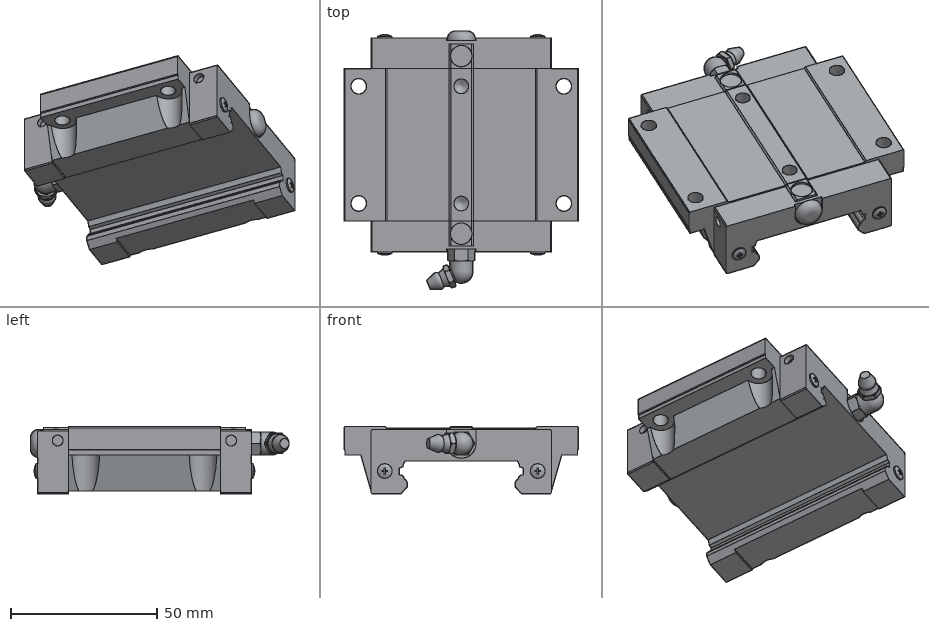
import cadquery as cq
import math

total_height = 23.0
block_width = 80.0
block_length = 52.0
block_bottom_z = 0.9
pad_z = 22.45
pad_half_width = 25.4
pad_step_run = 0.5
flange_bottom_z = 13.2
flange_taper_z = 15.2
flange_taper = 0.3
flange_top_chamfer = 0.5
skirt_top_half_width = 34.3
body_half_width = 30.8
ridge_top_half_width = 3.55
ridge_base_half_width = 4.15

hole_x = 35.0
hole_y = 20.0
hole_radius = 2.6
clearance_radius = 4.8
centre_hole_radius = 2.5
centre_hole_depth = 6.0
centre_hole_cone_depth = 1.5

cap_end_y = 34.5
seal_end_y = 36.5
cap_top_z = 21.9
cap_edge_chamfer = 0.4
cap_ridge_top_z = 22.7
oil_recess_y = 30.3
oil_recess_radius = 3.65
oil_recess_depth = 0.8
side_hole_y = 29.6
side_hole_z = 18.2
side_hole_radius = 1.83
side_hole_depth = 2.0

channel_top_z = 11.15
channel_side_x = 21.15
lip_foot_x = 20.6
lip_x = 18.4
lip_bottom_z = 2.35
lip_round_z = 3.8
lip_round_middle = (18.65, 4.4)
lip_round_end = (19.1, 4.95)
ball_row_start = (19.3, 4.85)
ball_row_middle = (19.7, 5.85)
ball_row_end_x = 20.5
ball_row_top_z = 6.5
upper_lip_z = 8.8
upper_lip_x = 19.95
upper_lip_slope = 0.4
channel_corner_x = 19.2
channel_corner_run = 0.4
channel_corner_z = 10.4
channel_overrun = 1.0

seat_z = 17.2
seat_radius = 5.05
seat_depth = 0.9
seat_floor_y = seal_end_y - seat_depth
plug_radius = 4.8
plug_end_y = 38.93
plug_round = 2.8

base_hex_flats = 8.0
base_hex_end_y = 39.7
base_hex_chamfer_radius = 4.0
elbow_radius = 4.0
elbow_y = 43.25
nipple_angle = 22.0
nipple_hex_start = 3.4
nipple_hex_end = 5.3
nipple_hex_flats = 7.0
nipple_hex_edge_radius = 3.7
hex_chamfer_height = 0.4
hex_half_turn = 30
nipple_stem_radius = 2.8
nipple_collar_radius = 3.3
nipple_neck_radius = 2.6
nipple_neck_end = 7.3
nipple_bulge_radius = 3.05
nipple_bulge_at = 8.4
nipple_cone_radius = 2.78
nipple_cone_start = 9.4
nipple_tip_radius = 1.7
nipple_length = 12.1

screw_x = 26.1
screw_z = 7.8
screw_radius = 2.5
screw_rim = 0.5
screw_head_height = 1.15
cross_length = 1.9
cross_width = 0.4
cross_depth = 0.6

ENDS = (-1, 1)
hex_corner = 2 / math.sqrt(3)


def mirrored(half):
    """Close a right-hand half outline with its mirror image across X = 0."""
    return half + [(-x, z) for x, z in reversed(half)]


def extrude_y(points, y_start, y_end):
    """Extrude an (x, z) outline from y_start to y_end."""
    outline = cq.Workplane("XZ", origin=(0, y_end, 0)).polyline(points).close()
    return outline.extrude(y_end - y_start)


def outward(end, y, x=0, z=0):
    """Work plane at distance y from the middle, facing out of the given end."""
    return cq.Workplane(cq.Plane((x, end * y, z), (1, 0, 0), (0, end, 0)))


def at_corners(x, y):
    return [(sx * x, sy * y) for sx in ENDS for sy in ENDS]


def ridge(base_z, top_z, y_start, y_end):
    """Trapezoidal ridge along the middle of the top face."""
    half = [(ridge_base_half_width, base_z), (ridge_top_half_width, top_z)]
    return extrude_y(mirrored(half), y_start, y_end)


def make_block():
    edge = block_width / 2
    half = [
        (body_half_width, block_bottom_z),
        (skirt_top_half_width, flange_bottom_z),
        (edge - flange_taper, flange_bottom_z),
        (edge - flange_taper, flange_taper_z - flange_taper),
        (edge, flange_taper_z),
        (edge, total_height - flange_top_chamfer),
        (edge - flange_top_chamfer / 2, total_height),
        (pad_half_width + pad_step_run, total_height),
        (pad_half_width, pad_z),
    ]
    half_length = block_length / 2
    block = extrude_y(mirrored(half), -half_length, half_length)
    return block.union(ridge(pad_z, total_height, -half_length, half_length))


def cut_block_holes(block):
    corners = at_corners(hole_x, hole_y)
    holes = cq.Workplane("XY").pushPoints(corners).circle(hole_radius).extrude(total_height)
    pockets = cq.Workplane("XY").pushPoints(corners).circle(clearance_radius).extrude(flange_bottom_z)
    block = block.cut(holes).cut(pockets)
    shoulder_z = total_height - centre_hole_depth
    profile = [
        (0, total_height),
        (centre_hole_radius, total_height),
        (centre_hole_radius, shoulder_z),
        (0, shoulder_z - centre_hole_cone_depth),
    ]
    hole = cq.Workplane("XZ").polyline(profile).close().revolve(360, (0, 0), (0, 1))
    for end in ENDS:
        block = block.cut(hole.translate((0, end * hole_y, 0)))
    return block


def make_end(end):
    """End cap with its seal and the ridge carried on over the cap."""
    near_y = block_length / 2
    plate = outward(end, (near_y + seal_end_y) / 2, 0, cap_top_z / 2)
    plate = plate.box(2 * body_half_width, cap_top_z, seal_end_y - near_y)
    plate = plate.edges("|Y").chamfer(cap_edge_chamfer)
    y_range = sorted((end * near_y, end * cap_end_y))
    plate = plate.union(ridge(cap_top_z, cap_ridge_top_z, *y_range))
    recess = cq.Workplane("XY", origin=(0, end * oil_recess_y, cap_ridge_top_z - oil_recess_depth))
    plate = plate.cut(recess.circle(oil_recess_radius).extrude(2 * oil_recess_depth))
    for side in ENDS:
        centre = (side * body_half_width, end * side_hole_y, side_hole_z)
        hole = cq.Workplane(cq.Plane(centre, (0, 1, 0), (-side, 0, 0)))
        plate = plate.cut(hole.circle(side_hole_radius).extrude(side_hole_depth))
    seat = outward(end, seat_floor_y, 0, seat_z).circle(seat_radius).extrude(2 * seat_depth)
    slot = cq.Workplane("XY").box(2 * seat_radius, 4 * seat_depth, cap_top_z, (True, True, False))
    slot = slot.translate((0, end * (seat_floor_y + 2 * seat_depth), seat_z))
    return plate.cut(seat).cut(slot)


def make_channel():
    """Rail channel, open at the bottom, with a ball row bulging above each rounded lip."""
    half = cq.Workplane("XZ", origin=(0, seal_end_y, 0)).moveTo(0, -channel_overrun)
    half = half.lineTo(lip_foot_x, -channel_overrun)
    half = half.lineTo(lip_foot_x, 0)
    half = half.lineTo(lip_x, lip_bottom_z)
    half = half.lineTo(lip_x, lip_round_z)
    half = half.threePointArc(lip_round_middle, lip_round_end)
    half = half.lineTo(*ball_row_start)
    half = half.threePointArc(ball_row_middle, (ball_row_end_x, ball_row_top_z))
    half = half.lineTo(channel_side_x, ball_row_top_z)
    half = half.lineTo(channel_side_x, upper_lip_z)
    half = half.lineTo(upper_lip_x, upper_lip_z + upper_lip_slope)
    half = half.lineTo(channel_corner_x + channel_corner_run, channel_corner_z)
    half = half.lineTo(channel_corner_x, channel_top_z)
    half = half.lineTo(0, channel_top_z).close().extrude(2 * seal_end_y)
    return half.union(half.mirror("YZ"))


def make_screw(end, side):
    """Domed cover screw with a cross recess."""
    dome_height = screw_head_height - screw_rim
    dome_radius = (screw_radius ** 2 + dome_height ** 2) / (2 * dome_height)
    base = outward(end, seal_end_y, side * screw_x, screw_z)
    head = base.circle(screw_radius).extrude(screw_head_height)
    dome = cq.Workplane("XY").sphere(dome_radius)
    dome_y = end * (seal_end_y + screw_head_height - dome_radius)
    head = head.intersect(dome.translate((side * screw_x, dome_y, screw_z)))
    recess_y = seal_end_y + screw_head_height - cross_depth
    recess = outward(end, recess_y, side * screw_x, screw_z)
    for size in ((cross_length, cross_width), (cross_width, cross_length)):
        head = head.cut(recess.rect(*size).extrude(2 * cross_depth))
    return head


def make_plug():
    plug = outward(1, seat_floor_y, 0, seat_z).circle(plug_radius).extrude(plug_end_y - seat_floor_y)
    return plug.faces(">Y").edges().fillet(plug_round)


def rounded_hex(flats, height, edge_radius, both_ends):
    """Hexagon standing on XY with its corners turned off conically."""
    corner_radius = flats * hex_corner / 2
    hexagon = cq.Workplane("XY").polygon(6, 2 * corner_radius).extrude(height)
    start_radius = edge_radius if both_ends else corner_radius
    profile = [
        (0, 0),
        (start_radius, 0),
        (corner_radius, hex_chamfer_height),
        (corner_radius, height - hex_chamfer_height),
        (edge_radius, height),
        (0, height),
    ]
    turned = cq.Workplane("XZ").polyline(profile).close().revolve(360, (0, 0), (0, 1))
    return hexagon.intersect(turned)


def make_nipple_head():
    """Grease nipple along +Z, measured from the elbow centre."""
    nipple_hex = rounded_hex(
        nipple_hex_flats, nipple_hex_end - nipple_hex_start, nipple_hex_edge_radius, True
    )
    stem = cq.Workplane("XZ").lineTo(nipple_stem_radius, 0)
    stem = stem.lineTo(nipple_stem_radius, nipple_hex_start)
    stem = stem.lineTo(nipple_collar_radius, nipple_hex_start)
    stem = stem.lineTo(nipple_collar_radius, nipple_hex_end)
    stem = stem.lineTo(nipple_neck_radius, nipple_neck_end)
    stem = stem.threePointArc((nipple_bulge_radius, nipple_bulge_at), (nipple_cone_radius, nipple_cone_start))
    stem = stem.lineTo(nipple_tip_radius, nipple_length).lineTo(0, nipple_length).close()
    stem = stem.revolve(360, (0, 0), (0, 1))
    nipple_hex = nipple_hex.rotate((0, 0, 0), (0, 0, 1), hex_half_turn)
    return stem.union(nipple_hex.translate((0, 0, nipple_hex_start)))


def make_nipple():
    base = rounded_hex(
        base_hex_flats, base_hex_end_y - seat_floor_y, base_hex_chamfer_radius, False
    )
    base = base.rotate((0, 0, 0), (1, 0, 0), 90).translate((0, -seat_floor_y, seat_z))
    tube = outward(-1, seat_floor_y, 0, seat_z).circle(elbow_radius).extrude(elbow_y - seat_floor_y)
    elbow = cq.Workplane("XY").sphere(elbow_radius).translate((0, -elbow_y, seat_z))
    head = make_nipple_head().rotate((0, 0, 0), (0, 1, 0), -90)
    head = head.rotate((0, 0, 0), (0, 0, 1), nipple_angle)
    head = head.translate((0, -elbow_y, seat_z))
    return base.union(tube).union(elbow).union(head)


result = cut_block_holes(make_block())
for end in ENDS:
    result = result.union(make_end(end))
result = result.cut(make_channel())
for end in ENDS:
    for side in ENDS:
        result = result.union(make_screw(end, side))
result = result.union(make_plug()).union(make_nipple())